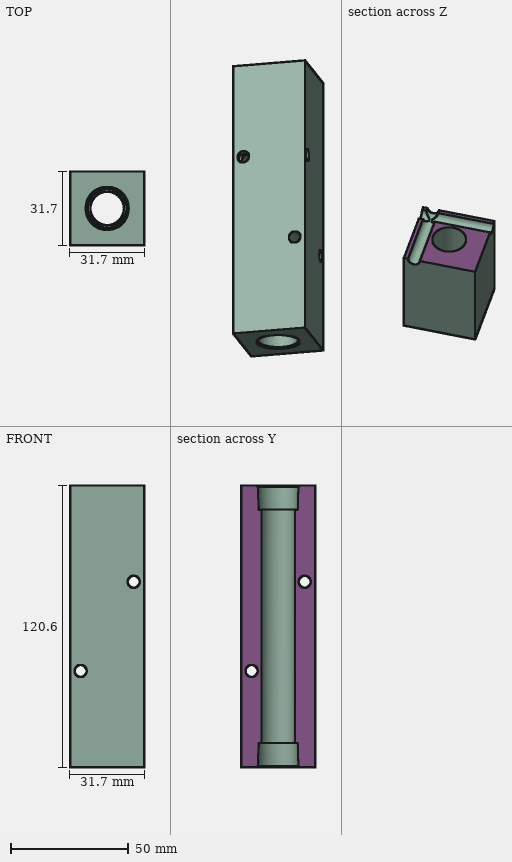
import cadquery as cq

length = 120.6
side = 31.7

passage_diameter = 14.2
port_mouth_diameter = 18.5
port_diameter = 17.1
port_depth = 10.4
port_taper = 1 / 16

cross_diameter = 5.1
cross_offset = 11.3
cross_height = 19.1


def port():
    """Cutter for the upper port: a flat-bottomed tapered bore with a 45 degree mouth chamfer."""
    top = length / 2
    mouth_radius = port_mouth_diameter / 2
    bore_radius = port_diameter / 2
    chamfer = mouth_radius - bore_radius
    floor_radius = bore_radius - port_taper * (port_depth - chamfer) / 2
    half_section = (
        cq.Workplane("XZ")
        .moveTo(0, top)
        .lineTo(mouth_radius, top)
        .lineTo(bore_radius, top - chamfer)
        .lineTo(floor_radius, top - port_depth)
        .lineTo(0, top - port_depth)
        .close()
    )
    return half_section.revolve(360, (0, 0, 0), (0, 1, 0))


def cross_hole(plane, offset, height):
    """Cutter passing right through the block, normal to the given plane."""
    return (
        cq.Workplane(plane)
        .center(offset, height)
        .circle(cross_diameter / 2)
        .extrude(side, both=True)
    )


block = cq.Workplane("XY").box(side, side, length)
passage = cq.Workplane("XY").circle(passage_diameter / 2).extrude(length, both=True)
upper_port = port()
lower_port = upper_port.mirror("XY")
result = block.cut(passage).cut(upper_port).cut(lower_port)

for direction in (1, -1):
    for plane in ("XZ", "YZ"):
        result = result.cut(cross_hole(plane, direction * cross_offset, direction * cross_height))